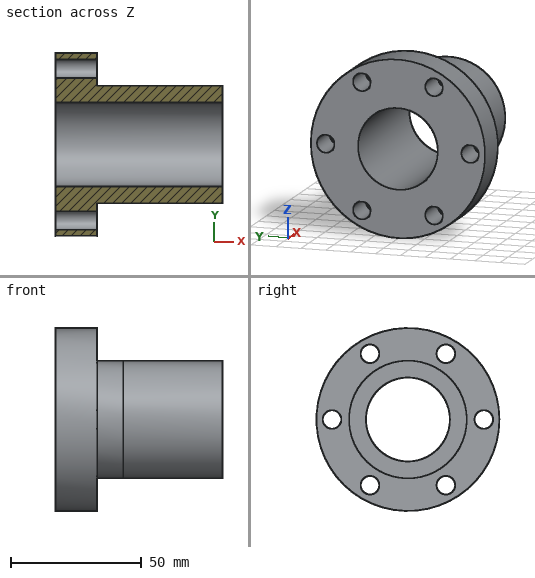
import cadquery as cq

total_length = 64.0
flange_diameter = 70.0
flange_thickness = 16.0
collar_diameter = 44.99
collar_length = 10.0
barrel_diameter = 45.0
bore_diameter = 32.0

hole_count = 6
hole_diameter = 7.0
bolt_circle_diameter = 58.0


def cylinder_along_x(diameter, start, end):
    """Solid cylinder on the X axis between two X positions."""
    return (
        cq.Workplane("YZ", origin=(start, 0, 0))
        .circle(diameter / 2)
        .extrude(end - start)
    )


def mounting_holes():
    """Ring of through-hole cutters, the first one on the +Y axis."""
    return (
        cq.Workplane("YZ")
        .polarArray(bolt_circle_diameter / 2, 0, 360, hole_count)
        .circle(hole_diameter / 2)
        .extrude(flange_thickness)
    )


collar_end = flange_thickness + collar_length

flange = cylinder_along_x(flange_diameter, 0, flange_thickness)
collar = cylinder_along_x(collar_diameter, flange_thickness, collar_end)
barrel = cylinder_along_x(barrel_diameter, collar_end, total_length)
bore = cylinder_along_x(bore_diameter, 0, total_length)

result = flange.union(collar).union(barrel).cut(bore).cut(mounting_holes())